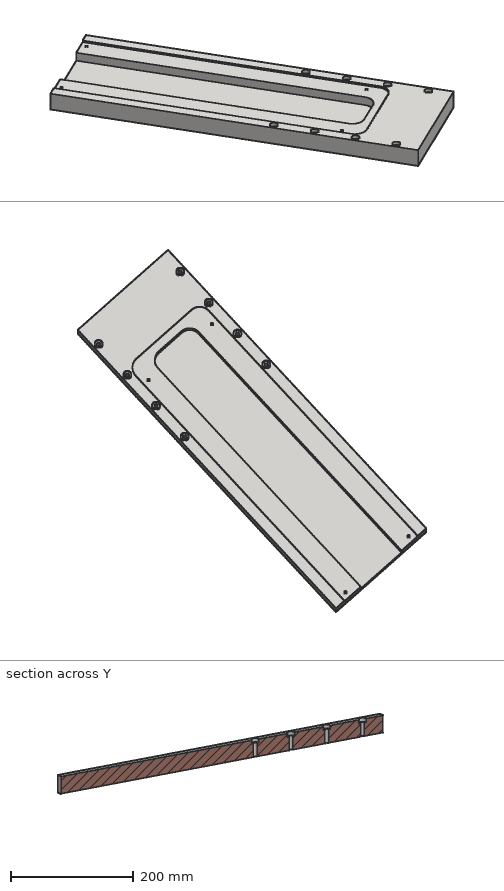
import cadquery as cq

length = 630.0
width = 200.0
thickness = 30.0

corner_radius = 20.0
step_length = 530.0
step_width = 162.0
step_depth = 3.0
pocket_length = 515.0
pocket_width = 90.0
pocket_depth = 18.0

bolt_diameter = 6.0
counterbore_diameter = 13.0
counterbore_depth = 6.0
bolt_count = 4
bolt_pitch = 70.0
bolt_row_spacing = 180.0
last_bolt_to_end = 40.5

screw_diameter = 4.2
screw_depth = 15.0
screw_row_spacing = 140.0
screw_first_x = 10.0
screw_last_x = 490.0


def open_ended_pocket(pocket_end, across, depth):
    """Cutter from X = 0 with its two inner corners rounded, sunk from the top face."""
    return (
        cq.Workplane("XY", origin=(0, 0, thickness - depth))
        .rect(2 * pocket_end, across)
        .extrude(depth)
        .edges("|Z and >X")
        .fillet(corner_radius)
    )


def both_sides(x_positions, row_spacing):
    """Points at each X, mirrored about the centre line."""
    return [(x, side * row_spacing / 2) for x in x_positions for side in (-1, 1)]


plate = cq.Workplane("XY").box(length, width, thickness, centered=(False, True, False))
plate = plate.cut(open_ended_pocket(step_length, step_width, step_depth))
plate = plate.cut(open_ended_pocket(pocket_length, pocket_width, pocket_depth))

last_bolt_x = length - last_bolt_to_end
bolt_xs = [last_bolt_x - i * bolt_pitch for i in range(bolt_count)]
plate = (
    plate.copyWorkplane(cq.Workplane("XY", origin=(0, 0, thickness)))
    .pushPoints(both_sides(bolt_xs, bolt_row_spacing))
    .cboreHole(bolt_diameter, counterbore_diameter, counterbore_depth)
)

step_floor = thickness - step_depth
result = (
    plate.copyWorkplane(cq.Workplane("XY", origin=(0, 0, step_floor)))
    .pushPoints(both_sides([screw_first_x, screw_last_x], screw_row_spacing))
    .hole(screw_diameter, screw_depth)
)